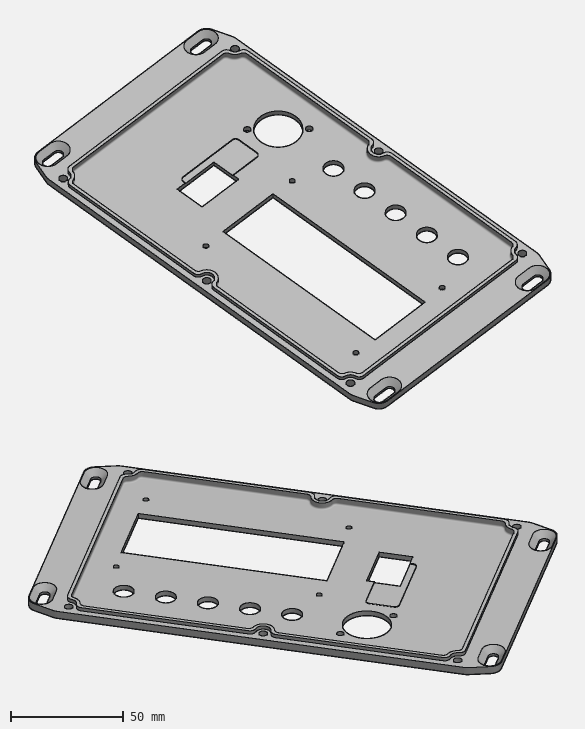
import cadquery as cq

length = 217.0
width = 119.5
height = 6.0
flange_height = 4.3
floor_thickness = 2.5
bottom_edge_radius = 1.0

taper_run = 14.0
taper_drop = 4.8
side_corner_radius = 5.5
long_edge_corner_radius = 6.5

rim_length = 182.5
rim_width = 113.7
rim_wall = 1.63
rim_corner_radius = 2.8
pocket_corner_radius = 2.4
rim_root_radius = 0.9
notch_diameter = 7.0
screw_hole_diameter = 4.0
screw_offset_x = 89.2
screw_offset_y = 55.0

slot_offset_x = 102.9
slot_offset_y = 47.3
slot_straight = 6.7
slot_top_width = 10.6
slot_bottom_width = 4.8
slot_land = 1.3

connector_x = -42.5
connector_y = 34.5
connector_diameter = 22.0
connector_screw_diameter = 3.3
connector_screw_offset = 9.8

button_count = 5
button_pitch = 19.3
button_diameter = 9.3
first_button_x = -8.2
button_y = 34.5

display_x = 30.4
display_y = -11.3
display_length = 94.5
display_width = 32.0
display_screw_diameter = 2.5
display_screw_pitch_x = 93.0
display_screw_pitch_y = 55.1

switch_x = -41.7
switch_y = -11.3
switch_length = 15.5
switch_width = 23.5

label_x = -45.1
label_length = 15.2
label_width = 35.4
label_corner_radius = 2.0
label_depth = 0.5


def mirrored_points(x, y):
    return [(sx * x, sy * y) for sx in (-1, 1) for sy in (-1, 1)]


screw_points = mirrored_points(screw_offset_x, screw_offset_y)
screw_points += [(0, screw_offset_y), (0, -screw_offset_y)]


def make_flange():
    half_x = length / 2
    half_y = width / 2
    inner_x = half_x - taper_run
    inner_y = half_y - taper_drop
    outline = [
        (-half_x, -inner_y), (-inner_x, -half_y), (inner_x, -half_y), (half_x, -inner_y),
        (half_x, inner_y), (inner_x, half_y), (-inner_x, half_y), (-half_x, inner_y),
    ]
    flange = cq.Workplane("XY").polyline(outline).close().extrude(flange_height)
    flange = flange.edges("|Z and (<X or >X)").fillet(side_corner_radius)
    flange = flange.edges("|Z and (<Y or >Y)").fillet(long_edge_corner_radius)
    return flange.faces("<Z").edges().fillet(bottom_edge_radius)


def notched_block(inset, corner_radius):
    """Block from the floor to the rim top, following the rim outline moved inward by the inset."""
    base = cq.Workplane("XY").workplane(offset=floor_thickness)
    depth = height - floor_thickness
    block = base.rect(rim_length - 2 * inset, rim_width - 2 * inset).extrude(depth)
    notches = base.pushPoints(screw_points).circle(notch_diameter / 2 + inset).extrude(depth)
    return block.cut(notches).edges("|Z").fillet(corner_radius)


def make_pocket():
    return notched_block(rim_wall, pocket_corner_radius).faces("<Z").edges().fillet(rim_root_radius)


def make_slot(x, y):
    """Slot with a straight land at the bottom that flares out to the flange top."""
    land = (
        cq.Workplane("XY").center(x, y)
        .slot2D(slot_straight + slot_bottom_width, slot_bottom_width, 90)
        .extrude(slot_land)
    )
    return (
        land.faces(">Z").wires().toPending()
        .workplane(offset=flange_height - slot_land, origin=(x, y, slot_land))
        .slot2D(slot_straight + slot_top_width, slot_top_width, 90)
        .loft(ruled=True)
    )


def round_holes(points, diameter):
    return cq.Workplane("XY").pushPoints(points).circle(diameter / 2).extrude(height)


def rectangular_hole(x, y, size_x, size_y):
    return cq.Workplane("XY").center(x, y).rect(size_x, size_y).extrude(height)


result = make_flange().union(notched_block(0, rim_corner_radius)).cut(make_pocket())
for x, y in mirrored_points(slot_offset_x, slot_offset_y):
    result = result.cut(make_slot(x, y))
result = result.cut(round_holes(screw_points, screw_hole_diameter))

connector_screws = [
    (connector_x + side * connector_screw_offset, connector_y + side * connector_screw_offset)
    for side in (-1, 1)
]
result = result.cut(round_holes([(connector_x, connector_y)], connector_diameter))
result = result.cut(round_holes(connector_screws, connector_screw_diameter))

buttons = [(first_button_x + i * button_pitch, button_y) for i in range(button_count)]
result = result.cut(round_holes(buttons, button_diameter))

display_screws = [
    (display_x + dx, display_y + dy)
    for dx, dy in mirrored_points(display_screw_pitch_x / 2, display_screw_pitch_y / 2)
]
result = result.cut(rectangular_hole(display_x, display_y, display_length, display_width))
result = result.cut(round_holes(display_screws, display_screw_diameter))

label_recess = (
    cq.Workplane("XY").workplane(offset=floor_thickness - label_depth)
    .center(label_x, 0)
    .rect(label_length, label_width)
    .extrude(label_depth)
    .edges("|Z").fillet(label_corner_radius)
)
result = result.cut(label_recess)
result = result.cut(rectangular_hole(switch_x, switch_y, switch_length, switch_width))